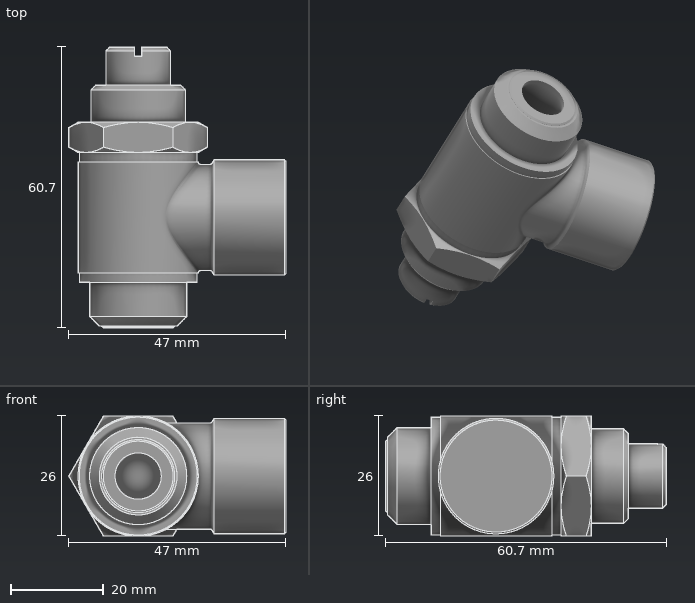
import cadquery as cq
import math


body_radius = 13.0
body_half_length = 12.05
collar_radius = 12.75
collar_length = 2.0
collar_end = body_half_length + collar_length

hex_across_flats = 2 * body_radius
hex_across_corners = hex_across_flats / math.cos(math.radians(30))
hex_end = 20.6
hex_chamfer_angle = 30.0

shoulder_radius = 10.25
shoulder_end = 28.6
shoulder_chamfer = 1.05
stem_radius = 7.0
stem_end = 36.8
stem_chamfer = 0.8
slot_width = 1.5
slot_depth = 1.9

nozzle_radius = 10.5
nozzle_end = -23.5
nozzle_chamfer = 2.1
lip_radius = 7.9
lip_height = 0.37
lip_chamfer = 0.35
nozzle_tip = nozzle_end - lip_height
bore_radius = 5.0
bore_end = -collar_end

port_radius = 12.5
port_start = 16.4
port_end = 32.0
port_chamfer = 0.4
port_cone_angle = 30.0
neck_radius = 11.5
port_foot_fillet = 0.4
joint_fillet = 0.5

tolerance = 0.1


def cylinder_y(radius, start, end):
    """Cylinder on the Y axis between two Y positions."""
    return cq.Workplane("XZ", origin=(0, start, 0)).circle(radius).extrude(start - end)


def make_body():
    collars = cylinder_y(collar_radius, -collar_end, collar_end)
    return collars.union(cylinder_y(body_radius, -body_half_length, body_half_length))


def make_side_port():
    """Neck and port barrel turned about the X axis, with a rounded corner at the foot of the port."""
    cone_length = (port_radius - neck_radius) * math.tan(math.radians(port_cone_angle))
    cone_start = port_start - cone_length
    turned = (
        cq.Workplane("XY")
        .lineTo(0, neck_radius)
        .lineTo(cone_start, neck_radius)
        .lineTo(port_start, port_radius)
        .lineTo(port_end - port_chamfer, port_radius)
        .lineTo(port_end, port_radius - port_chamfer)
        .lineTo(port_end, 0)
        .close()
        .revolve(360, (0, 0, 0), (1, 0, 0))
    )
    corner = cq.selectors.BoxSelector(
        (cone_start - tolerance, -port_radius, -port_radius),
        (cone_start + tolerance, port_radius, port_radius),
        boundingbox=True,
    )
    return turned.edges(corner).fillet(port_foot_fillet)


def join_side_port(body, side_port):
    """Fuse the side port to the body and round the curve where the neck meets it."""
    reach = neck_radius + tolerance
    joint = cq.selectors.BoxSelector(
        (tolerance, -reach, -reach), (body_radius + tolerance, reach, reach), boundingbox=True
    )
    return body.union(side_port).edges(joint).fillet(joint_fillet)


def make_hexagon():
    """Hexagon whose corners are cut back by a cone on both end faces."""
    height = hex_end - collar_end
    hex_plane = cq.Workplane("XZ", origin=(0, collar_end, 0))
    prism = hex_plane.polygon(6, hex_across_corners).extrude(-height)
    corner_radius = hex_across_corners / 2
    corner_drop = (corner_radius - body_radius) * math.tan(math.radians(hex_chamfer_angle))
    double_cone = (
        cq.Workplane("XY")
        .moveTo(0, collar_end)
        .lineTo(body_radius, collar_end)
        .lineTo(corner_radius, collar_end + corner_drop)
        .lineTo(corner_radius, hex_end - corner_drop)
        .lineTo(body_radius, hex_end)
        .lineTo(0, hex_end)
        .close()
        .revolve(360, (0, 0, 0), (0, 1, 0))
    )
    return prism.intersect(double_cone)


def make_shoulder():
    return cylinder_y(shoulder_radius, hex_end, shoulder_end).faces(">Y").edges().chamfer(shoulder_chamfer)


def make_stem():
    stem = cylinder_y(stem_radius, shoulder_end, stem_end).faces(">Y").edges().chamfer(stem_chamfer)
    slot = cq.Workplane("XY").box(slot_width, 2 * slot_depth, 2 * stem_radius).translate((0, stem_end, 0))
    return stem.cut(slot)


def make_nozzle():
    nozzle = cylinder_y(nozzle_radius, nozzle_end, -collar_end).faces("<Y").edges().chamfer(nozzle_chamfer)
    lip = cylinder_y(lip_radius, nozzle_tip, nozzle_end).faces("<Y").edges().chamfer(lip_chamfer)
    return nozzle.union(lip)


result = join_side_port(make_body(), make_side_port())
for section in (make_hexagon(), make_shoulder(), make_stem(), make_nozzle()):
    result = result.union(section)
result = result.cut(cylinder_y(bore_radius, nozzle_tip, bore_end))